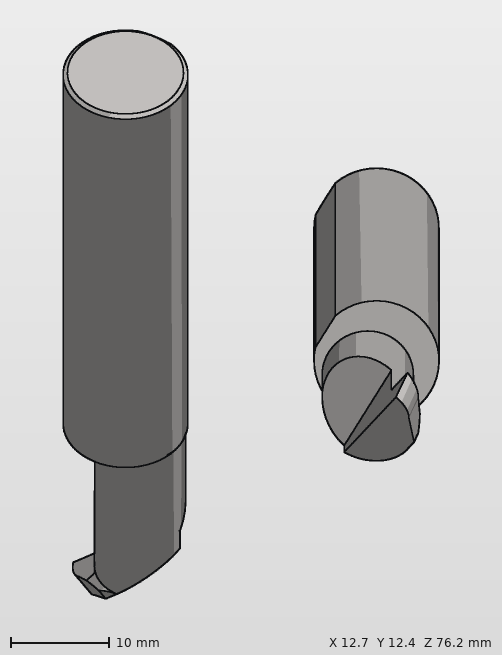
import cadquery as cq
import math

total_length = 76.2
shank_diameter = 12.7
shank_length = 50.75
flat_depth = 0.3
chamfer_radial = 0.45
chamfer_axial = 0.3

neck_diameter = 9.3
neck_x = (shank_diameter - neck_diameter) / 2
neck_top = total_length - shank_length
relief_height = 12.95

tip_angle = 45.8
tip_x = -3.8
tip_thickness = 3.2
nose_width = 2.5
nose_length = 2.3
nose_bulge = 0.4
flank_slope = 1.7
blade_width = neck_diameter / 2
flank_end = nose_length + flank_slope * (blade_width - nose_width)
plate_length = 9.15
rake_angle = 14.0
root_radius = 0.5
shoulder_top = 5.6
clearance = 30.5

incline = cq.Plane(
    origin=(tip_x, 0, 0),
    xDir=(0, -1, 0),
    normal=(-math.sin(math.radians(tip_angle)), 0, math.cos(math.radians(tip_angle))),
)


def make_shank():
    shank = cq.Workplane("XY").workplane(offset=neck_top)
    shank = shank.circle(shank_diameter / 2).extrude(shank_length)
    shank = shank.faces(">Z").chamfer(chamfer_axial, chamfer_radial)
    flat_cut = (
        cq.Workplane("XY", origin=(0, shank_diameter / 2 - flat_depth, neck_top))
        .rect(shank_diameter, shank_diameter, centered=(True, False))
        .extrude(shank_length)
    )
    return shank.cut(flat_cut)


def space_above(plane):
    return cq.Workplane(plane).rect(clearance, clearance).extrude(clearance)


def make_neck():
    neck = cq.Workplane("XY").center(neck_x, 0).circle(neck_diameter / 2).extrude(neck_top)
    relief = (
        cq.Workplane("YZ", origin=(-clearance / 2, 0, 0))
        .polyline([(0, 0), (0, relief_height), (clearance, relief_height + clearance), (clearance, 0)])
        .close()
        .extrude(clearance)
    )
    underside = cq.Workplane(incline).rect(clearance, clearance).extrude(-clearance)
    beyond_flank = (
        cq.Workplane(incline)
        .rect(clearance, 2 * flank_end)
        .extrude(tip_thickness)
        .cut(blade_outline().extrude(tip_thickness))
    )
    return neck.cut(relief).cut(underside).cut(beyond_flank)


def blade_outline():
    return (
        cq.Workplane(incline)
        .sagittaArc((nose_width, nose_length), -nose_bulge)
        .lineTo(blade_width, flank_end)
        .lineTo(blade_width, plate_length)
        .lineTo(0, plate_length)
        .close()
    )


def make_tip():
    blade = blade_outline().extrude(tip_thickness)
    rake = math.radians(rake_angle)
    rake_plane = cq.Plane(
        origin=incline.toWorldCoords((0, 0, tip_thickness)),
        xDir=incline.yDir,
        normal=incline.zDir * math.cos(rake) + incline.xDir * math.sin(rake),
    )
    neck_radius = neck_diameter / 2
    above_shoulder = (
        cq.Workplane("XZ", origin=(neck_x, 0, 0))
        .polyline([
            (neck_radius, shoulder_top),
            (neck_radius + clearance, shoulder_top - clearance),
            (neck_radius + clearance, neck_top),
            (neck_radius, neck_top),
        ])
        .close()
        .revolve(360, (0, 0, 0), (0, 1, 0))
    )
    return blade.cut(space_above(rake_plane)).cut(above_shoulder)


result = make_shank().union(make_neck()).union(make_tip())

corner_x = neck_x - neck_diameter / 2
rake_root = cq.selectors.BoxSelector(
    (corner_x, -blade_width, tip_thickness),
    (neck_x, 0, shoulder_top),
)
result = result.edges("%ELLIPSE").edges(rake_root).fillet(root_radius)